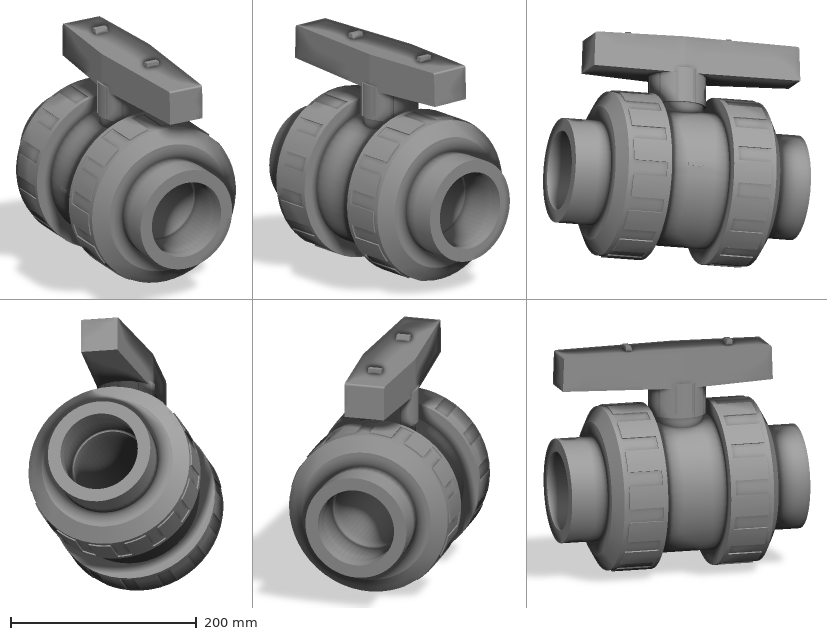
import cadquery as cq
import math


pipe_length = 266.5
pipe_end_x = pipe_length / 2
pipe_radius = 56.5
body_radius = 73.3
bore_radius = 40.2
socket_radius = 42.6
socket_depth = 56.8

nut_inner_x = 35.2
nut_outer_x = 93.3
nut_radius = 88.7
nut_face_radius = 72.2
nut_chamfer_length = 9.5
rib_diameter = 180.5
rib_radius = rib_diameter / 2
rib_count = 14
rib_angle = 15.6
rib_centre_angle = 5.2
rim_length = 5.3
rib_length = 37.5

neck_radius = 28.8
collar_diameter = 62.5
collar_radius = collar_diameter / 2
collar_bottom_z = 79.0
collar_top_z = 116.7
flute_count = 10
flute_width = 3.2
flute_depth = 0.8

handle_left_x = -101.0
handle_right_x = pipe_end_x
handle_ridge_x = -1.3
handle_half_width = 29.3
handle_left_half_width = 22.0
handle_right_half_width = 20.0
handle_top_z = 151.0
handle_end_z = 113.8
handle_middle_z = 111.0
handle_end_draft = 1.3
handle_edge_radius = 2.0

tab_centre_x = -0.5
tab_outer_offset = 59.7
tab_base_length = 7.5
tab_top_length = 5.5
tab_width = 14.7
overall_height = 246.8
tab_top_z = overall_height - rib_radius

arrow_tail_x = -11.5
arrow_head_x = -0.5
arrow_tip_x = 10.7
arrow_shaft_half_height = 1.5
arrow_head_half_height = 3.0
arrow_height = 0.5


def cylinder_x(radius, start_x, end_x):
    """Solid cylinder about the X axis."""
    return cq.Workplane("YZ").workplane(offset=start_x).circle(radius).extrude(end_x - start_x)


def rib_sector(start_x, length, centre_angle):
    """Wedge about the X axis covering one rib, angles measured from -Y towards +Z."""
    reach = 2 * rib_radius
    points = [(0, 0)]
    for side in (-1, 1):
        angle = math.radians(centre_angle + side * rib_angle / 2)
        points.append((-reach * math.cos(angle), reach * math.sin(angle)))
    return cq.Workplane("YZ").workplane(offset=start_x).polyline(points).close().extrude(length)


def make_left_nut():
    """Chamfered ring with a rim on its inner side and ribs running out from the rim."""
    chamfer_end_x = -nut_outer_x + nut_chamfer_length
    rim_start_x = -nut_inner_x - rim_length
    rib_start_x = rim_start_x - rib_length
    nut = (
        cq.Workplane("XY")
        .moveTo(-nut_outer_x, 0)
        .lineTo(-nut_outer_x, nut_face_radius)
        .lineTo(chamfer_end_x, nut_radius)
        .lineTo(-nut_inner_x, nut_radius)
        .lineTo(-nut_inner_x, 0)
        .close()
        .revolve(360, (0, 0, 0), (1, 0, 0))
    )
    nut = nut.union(cylinder_x(rib_radius, rim_start_x, -nut_inner_x))
    rib_ring = cylinder_x(rib_radius, rib_start_x, rim_start_x)
    for index in range(rib_count):
        sector = rib_sector(rib_start_x, rib_length, rib_centre_angle + index * 360 / rib_count)
        nut = nut.union(rib_ring.intersect(sector))
    return nut


def make_stem():
    """Round neck rising from the body into a collar with shallow upright flutes."""
    neck = cq.Workplane("XY").circle(neck_radius).extrude(collar_bottom_z)
    collar = (
        cq.Workplane("XY")
        .workplane(offset=collar_bottom_z)
        .circle(collar_radius)
        .extrude(collar_top_z - collar_bottom_z)
    )
    flutes = (
        cq.Workplane("XY")
        .workplane(offset=collar_bottom_z)
        .polarArray(collar_radius, 0, 360, flute_count)
        .rect(2 * flute_depth, flute_width)
        .extrude(collar_top_z - collar_bottom_z)
    )
    return neck.union(collar.cut(flutes))


def make_handle():
    """Bar widest near the stem, with drafted ends and a shallow V-shaped underside."""
    plan = (
        cq.Workplane("XY")
        .moveTo(handle_left_x, -handle_left_half_width)
        .lineTo(handle_ridge_x, -handle_half_width)
        .lineTo(handle_right_x, -handle_right_half_width)
        .lineTo(handle_right_x, handle_right_half_width)
        .lineTo(handle_ridge_x, handle_half_width)
        .lineTo(handle_left_x, handle_left_half_width)
        .close()
        .extrude(handle_top_z)
    )
    side = (
        cq.Workplane("XZ")
        .moveTo(handle_left_x, handle_end_z)
        .lineTo(handle_ridge_x, handle_middle_z)
        .lineTo(handle_right_x, handle_end_z)
        .lineTo(handle_right_x - handle_end_draft, handle_top_z)
        .lineTo(handle_left_x + handle_end_draft, handle_top_z)
        .close()
        .extrude(handle_half_width, both=True)
    )
    return plan.intersect(side).faces(">Z").edges("|Y").fillet(handle_edge_radius)


def make_tab(side):
    """Tab with an upright outer face and a sloping inner face; side is -1 or 1."""
    outer_x = tab_centre_x + side * tab_outer_offset
    return (
        cq.Workplane("XZ")
        .moveTo(outer_x, handle_top_z)
        .lineTo(outer_x, tab_top_z)
        .lineTo(outer_x - side * tab_top_length, tab_top_z)
        .lineTo(outer_x - side * tab_base_length, handle_top_z)
        .close()
        .extrude(tab_width / 2, both=True)
    )


def make_arrow():
    """Flow arrow pointing along +X, raised slightly above the body surface."""
    arrow = (
        cq.Workplane("XZ")
        .moveTo(arrow_tail_x, -arrow_shaft_half_height)
        .lineTo(arrow_head_x, -arrow_shaft_half_height)
        .lineTo(arrow_head_x, -arrow_head_half_height)
        .lineTo(arrow_tip_x, 0)
        .lineTo(arrow_head_x, arrow_head_half_height)
        .lineTo(arrow_head_x, arrow_shaft_half_height)
        .lineTo(arrow_tail_x, arrow_shaft_half_height)
        .close()
        .extrude(2 * body_radius)
    )
    return arrow.intersect(cylinder_x(body_radius + arrow_height, -nut_inner_x, nut_inner_x))


left_nut = make_left_nut()
right_nut = left_nut.rotate((0, 0, 0), (0, 0, 1), 180)

valve = cylinder_x(body_radius, -nut_inner_x, nut_inner_x)
valve = valve.union(cylinder_x(pipe_radius, -pipe_end_x, pipe_end_x))
valve = valve.union(left_nut).union(right_nut)
valve = valve.union(make_stem()).union(make_handle())
valve = valve.union(make_tab(-1)).union(make_tab(1))
valve = valve.union(make_arrow())

valve = valve.cut(cylinder_x(bore_radius, -pipe_end_x, pipe_end_x))
valve = valve.cut(cylinder_x(socket_radius, -pipe_end_x, -pipe_end_x + socket_depth))
valve = valve.cut(cylinder_x(socket_radius, pipe_end_x - socket_depth, pipe_end_x))

result = valve